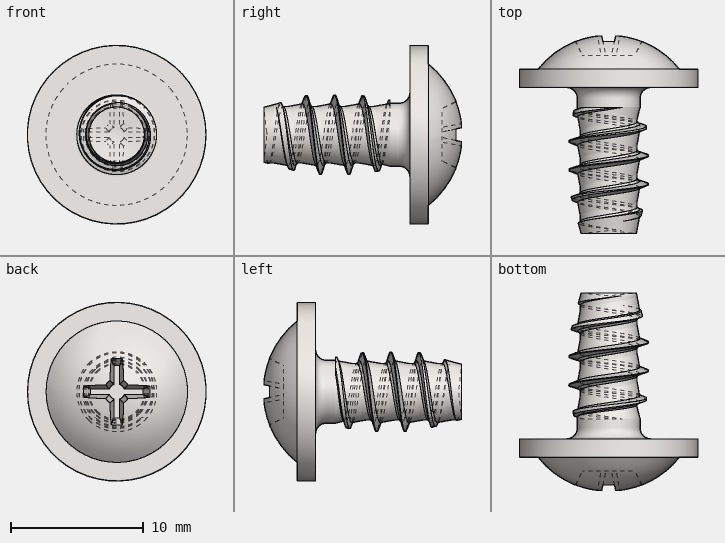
import cadquery as cq
import math


total_length = 14.91
shank_length = 11.0
head_height = total_length - shank_length
flange_diameter = 13.5
flange_radius = flange_diameter / 2
flange_thickness = 1.4
flange_edge_round = 0.09
dome_base_radius = 5.34

socket_radius = 0.98
socket_floor_radius = 0.6
wing_reach = 2.52
wing_taper_angle = 26.5
wing_half_width = 0.43
wing_flank_angle = 12.0
recess_depth = 1.49
cut_clearance = 0.15

neck_radius = 2.39
neck_fillet = 0.79
neck_length = 1.49
core_radius = 2.15
neck_cone_length = 0.92
tip_radius = 2.09
tip_recess_radius = 2.01
tip_recess_depth = 0.22

pitch = 2.15
crest_radius = 3.01
turns = 6
thread_start_angle = -90
top_full_crest_z = -3.52
turns_below = 4
first_crest_z = top_full_crest_z - turns_below * pitch
crest_half_width = 0.03
flank_foot_radius = 2.34
lower_flank_length = 0.28
sloping_root_length = 1.06
upper_flank_length = 0.22
upper_flank_foot = 0.4
root_overlap = 0.01
buried_depth = 0.15
lead_in_radius = 2.61
lead_in_length = 2.98
limit_radius = 3.1
run_out_length = 3.73
upper_foot_slope = (upper_flank_foot - upper_flank_length) / (flank_foot_radius - core_radius)
sloping_root_slope = sloping_root_length / (flank_foot_radius - core_radius)

dome_rise = head_height - flange_thickness
dome_center_drop = (dome_base_radius**2 - socket_radius**2 - dome_rise**2) / (2 * dome_rise)
dome_radius = math.hypot(dome_base_radius, dome_center_drop)
dome_center_z = flange_thickness - dome_center_drop


def dome_z(radius):
    """Height of the dome surface at a distance from the axis."""
    return dome_center_z + math.sqrt(dome_radius**2 - radius**2)


def revolved(outline):
    """Revolve an outline of (radius, height) drawn in the XZ plane about the Z axis."""
    return outline.close().revolve(360, (0, 0, 0), (0, 1, 0))


def make_head():
    flange = cq.Workplane("XY").circle(flange_radius).extrude(flange_thickness)
    flange = flange.edges().fillet(flange_edge_round)
    mid_radius = dome_base_radius / 2
    dome = revolved(
        cq.Workplane("XZ")
        .moveTo(0, flange_thickness / 2)
        .lineTo(dome_base_radius, flange_thickness / 2)
        .lineTo(dome_base_radius, flange_thickness)
        .threePointArc((mid_radius, dome_z(mid_radius)), (0, dome_z(0)))
    )
    return flange.union(dome)


def make_recess():
    floor_z = head_height - recess_depth
    top_z = dome_z(0) + cut_clearance
    run_out_z = dome_z(wing_reach)

    def cone(radius_at_floor, radius_at_top):
        return revolved(
            cq.Workplane("XZ")
            .moveTo(0, floor_z)
            .lineTo(radius_at_floor, floor_z)
            .lineTo(radius_at_top, top_z)
            .lineTo(0, top_z)
        )

    socket_slope = (socket_radius - socket_floor_radius) / recess_depth
    socket = cone(socket_floor_radius, socket_radius + socket_slope * (top_z - head_height))

    wing_slope = math.tan(math.radians(wing_taper_angle))
    wing_limit = cone(
        wing_reach - wing_slope * (run_out_z - floor_z),
        wing_reach + wing_slope * (top_z - run_out_z),
    )
    flank_slope = math.tan(math.radians(wing_flank_angle))
    top_half = wing_half_width + flank_slope * (top_z - run_out_z)
    floor_half = wing_half_width - flank_slope * (run_out_z - floor_z)
    wing_section = [(-floor_half, floor_z), (floor_half, floor_z), (top_half, top_z), (-top_half, top_z)]
    wing = cq.Workplane("XZ").polyline(wing_section).close().extrude(flange_radius, both=True)
    cross = wing.union(wing.rotate((0, 0, 0), (0, 0, 1), 90)).intersect(wing_limit)
    return socket.union(cross)


def make_neck():
    fillet_mid = neck_fillet * (1 - math.sqrt(0.5))
    return revolved(
        cq.Workplane("XZ")
        .moveTo(0, flange_thickness / 2)
        .lineTo(neck_radius + neck_fillet, flange_thickness / 2)
        .lineTo(neck_radius + neck_fillet, 0)
        .threePointArc((neck_radius + fillet_mid, -fillet_mid), (neck_radius, -neck_fillet))
        .lineTo(neck_radius, -neck_length)
        .lineTo(core_radius, -neck_length - neck_cone_length)
        .lineTo(0, -neck_length - neck_cone_length)
    )


def make_thread():
    upper_foot = upper_flank_foot + root_overlap * upper_foot_slope
    lower_foot = -lower_flank_length - sloping_root_length - root_overlap * sloping_root_slope
    section = [
        (core_radius - buried_depth, upper_foot),
        (core_radius - root_overlap, upper_foot),
        (flank_foot_radius, upper_flank_length),
        (crest_radius, crest_half_width),
        (crest_radius, -crest_half_width),
        (flank_foot_radius, -lower_flank_length),
        (core_radius - root_overlap, lower_foot),
        (core_radius - buried_depth, lower_foot),
    ]
    helix = cq.Workplane(obj=cq.Wire.makeHelix(pitch, turns * pitch, core_radius))
    thread = cq.Workplane("XZ").polyline(section).close().sweep(helix, isFrenet=True)
    return thread.rotate((0, 0, 0), (0, 0, 1), thread_start_angle).translate((0, 0, first_crest_z))


def make_thread_limit():
    """Envelope of the threaded shank: lead-in, full crest, run-out and the flat end of the tip."""
    return revolved(
        cq.Workplane("XZ")
        .moveTo(0, -neck_length)
        .lineTo(lead_in_radius, -neck_length)
        .lineTo(limit_radius, -neck_length - lead_in_length)
        .lineTo(limit_radius, -shank_length + run_out_length)
        .lineTo(tip_radius, -shank_length)
        .lineTo(0, -shank_length)
    )


def make_threaded_shank():
    """Over-long core and thread, trimmed to the envelope at both ends."""
    core = cq.Workplane("XY").workplane(offset=first_crest_z - pitch).circle(core_radius)
    core = core.extrude((turns + 2) * pitch)
    return core.union(make_thread()).intersect(make_thread_limit())


def make_tip_recess():
    return revolved(
        cq.Workplane("XZ")
        .moveTo(0, -shank_length)
        .lineTo(tip_recess_radius, -shank_length)
        .lineTo(0, -shank_length + tip_recess_depth)
    )


screw = make_head().union(make_neck()).union(make_threaded_shank())
screw = screw.cut(make_recess()).cut(make_tip_recess())
result = screw.rotate((0, 0, 0), (1, 0, 0), -90)